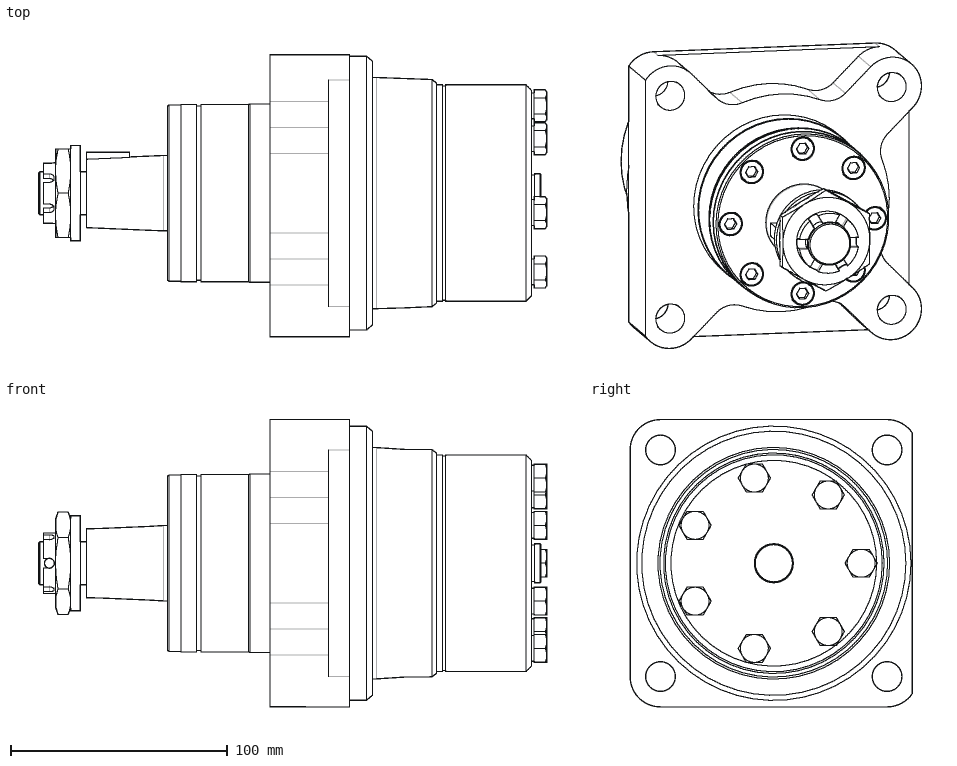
import cadquery as cq
import math


CASTLE_START = 2.0
HEX_START = 7.7
WASHER_START = 14.8
WASHER_END = 19.2
TAPER_START = 22.0
TAPER_END = 57.6
NOSE_START = 59.3
FLANGE_START = 106.5
PLATE_START = 133.5
FLANGE_END = 143.5
REAR_FACE = 227.3
BOLT_HEAD_START = 228.5
OVERALL_END = 234.3

SHAFT_TIP_RADIUS = 18.7 / 2
THREAD_RADIUS = 20.0 / 2
TAPER_SMALL_RADIUS = 16.0
TAPER_LARGE_RADIUS = 35.0 / 2
PIN_DIAMETER = 4.5
PIN_X = 5.0
KEY_WIDTH = 6.0
KEY_LENGTH = 20.0
KEY_TOP = 19.0

NUT_ACROSS_FLATS = 41.0
NUT_CHAMFER_DROP = 1.2
CASTLE_RADIUS = 28.0 / 2
SLOT_COUNT = 6
WASHER_RADIUS = 44.0 / 2

NOSE_CAP_RADIUS = 81.5 / 2
NOSE_RADIUS = 82.0 / 2
NOSE_BASE_RADIUS = 41.2
NOSE_CHAMFER = 0.7
NOSE_CAP_END = 65.5
NOSE_GROOVE = (72.9, 74.7)
NOSE_GROOVE_DEPTH = 0.7
NOSE_STEP = (96.8, 97.5)

RING_RADIUS = 63.3
RING_CHAMFER_START = 151.1
RING_END = 154.0
RING_END_RADIUS = 61.0
NECK_START_RADIUS = 53.5
NECK_TAPER_START = 155.8
NECK_CHAMFER_START = 181.3
NECK_CHAMFER_RADIUS = 52.5
NECK_END = 183.5
NECK_END_RADIUS = 50.8
REAR_RADIUS = 100.0 / 2
REAR_GROOVE = (186.3, 187.7)
REAR_GROOVE_DEPTH = 0.5
REAR_CHAMFER = 2.5

BOLT_HOLE_OFFSET = 52.2
BOLT_HOLE_DIAMETER = 13.5
ARM_RADIUS = 28.0 / 2
FLANGE_HALF_SIZE = BOLT_HOLE_OFFSET + ARM_RADIUS
FLAT_SIDE_Y = 64.0
HUB_RADIUS = 51.0
WEB_FILLET = 11.2

SCREW_COUNT = 8
SCREW_CIRCLE_RADIUS = 34.0
SCREW_RECESS_DIAMETER = 11.0
SCREW_HEAD_DIAMETER = 10.0
SCREW_HEAD_HEIGHT = 6.0
SOCKET_ACROSS_FLATS = 5.0
SOCKET_DEPTH = 3.0

BOLT_COUNT = 7
BOLT_CIRCLE_RADIUS = 40.3
BOLT_ACROSS_FLATS = 13.0
BOLT_COLLAR_DIAMETER = 12.0
BOLT_CHAMFER_DROP = 0.7
PLUG_NECK_RADIUS = 16.9 / 2
PLUG_RADIUS = 18.0 / 2
PLUG_HEAD_START = 228.7
PLUG_END = 231.7
PLUG_CHAMFER = 0.5


def revolve_about_shaft(profile):
    """Solid of revolution about X; the (x, radius) profile starts and ends on the axis."""
    return cq.Workplane("XY").polyline(profile).close().revolve(360, (0, 0, 0), (1, 0, 0))


def plane_at(x):
    """Work plane across the shaft: local x is +Y, local y is +Z, extrusion runs along +X."""
    return cq.Workplane("YZ", origin=(x, 0, 0))


def disc(start, end, diameter, y=0, z=0):
    return plane_at(start).center(y, z).circle(diameter / 2).extrude(end - start)


def hexagon(start, end, across_flats, y=0, z=0, turn=0):
    """Hexagonal prism along X; its corners point along Y, or along Z with a turn of 90 degrees."""
    across_corners = across_flats / math.cos(math.pi / 6)
    prism = plane_at(start).polygon(6, across_corners).extrude(end - start)
    return prism.rotate((0, 0, 0), (1, 0, 0), turn).translate((0, y, z))


def circle_points(count, radius):
    """Points (y, z) spaced evenly on a circle, the first on +Y."""
    angles = [2 * math.pi * i / count for i in range(count)]
    return [(radius * math.cos(a), radius * math.sin(a)) for a in angles]


def make_housing():
    """Turned shape of the shaft, nose, flange ring, rear housing and plug."""
    groove_radius = NOSE_RADIUS - NOSE_GROOVE_DEPTH
    rear_groove_radius = REAR_RADIUS - REAR_GROOVE_DEPTH
    tip_chamfer = THREAD_RADIUS - SHAFT_TIP_RADIUS
    return revolve_about_shaft([
        (0, 0),
        (0, SHAFT_TIP_RADIUS),
        (tip_chamfer, THREAD_RADIUS),
        (TAPER_START, THREAD_RADIUS),
        (TAPER_START, TAPER_SMALL_RADIUS),
        (TAPER_END, TAPER_LARGE_RADIUS),
        (NOSE_START, TAPER_LARGE_RADIUS),
        (NOSE_START, NOSE_CAP_RADIUS - NOSE_CHAMFER),
        (NOSE_START + NOSE_CHAMFER, NOSE_CAP_RADIUS),
        (NOSE_CAP_END, NOSE_CAP_RADIUS),
        (NOSE_CAP_END, NOSE_RADIUS),
        (NOSE_GROOVE[0], NOSE_RADIUS),
        (NOSE_GROOVE[0], groove_radius),
        (NOSE_GROOVE[1], groove_radius),
        (NOSE_GROOVE[1], NOSE_RADIUS),
        (NOSE_STEP[0], NOSE_RADIUS),
        (NOSE_STEP[1], NOSE_BASE_RADIUS),
        (FLANGE_END, NOSE_BASE_RADIUS),
        (FLANGE_END, RING_RADIUS),
        (RING_CHAMFER_START, RING_RADIUS),
        (RING_END, RING_END_RADIUS),
        (RING_END, NECK_START_RADIUS),
        (NECK_TAPER_START, NECK_START_RADIUS),
        (NECK_CHAMFER_START, NECK_CHAMFER_RADIUS),
        (NECK_END, NECK_END_RADIUS),
        (NECK_END, REAR_RADIUS),
        (REAR_GROOVE[0], REAR_RADIUS),
        (REAR_GROOVE[0], rear_groove_radius),
        (REAR_GROOVE[1], rear_groove_radius),
        (REAR_GROOVE[1], REAR_RADIUS),
        (REAR_FACE - REAR_CHAMFER, REAR_RADIUS),
        (REAR_FACE, REAR_RADIUS - REAR_CHAMFER),
        (REAR_FACE, PLUG_NECK_RADIUS),
        (PLUG_HEAD_START, PLUG_NECK_RADIUS),
        (PLUG_HEAD_START, PLUG_RADIUS),
        (PLUG_END - PLUG_CHAMFER, PLUG_RADIUS),
        (PLUG_END, PLUG_RADIUS - PLUG_CHAMFER),
        (PLUG_END, 0),
    ])


def turned(point, quarter_turns):
    """Point (y, z) turned about the shaft axis by whole quarter turns."""
    y, z = point
    for _ in range(quarter_turns):
        y, z = -z, y
    return (y, z)


def make_arms():
    """Hub and four arms, with a relief on the +Z, -Y and -Z sides and a straight +Y side.

    Each 45 degree arm flank is tangent to the round arm end and runs through a fillet into the hub.
    """
    diagonal = math.sqrt(0.5)
    flank_start = (BOLT_HOLE_OFFSET - ARM_RADIUS * diagonal, BOLT_HOLE_OFFSET + ARM_RADIUS * diagonal)
    across = ARM_RADIUS + WEB_FILLET
    along = math.sqrt((HUB_RADIUS + WEB_FILLET) ** 2 - across**2)
    centre_y = (along - across) * diagonal
    centre_z = (along + across) * diagonal
    flank_end = (centre_y + WEB_FILLET * diagonal, centre_z - WEB_FILLET * diagonal)
    hub_share = HUB_RADIUS / (HUB_RADIUS + WEB_FILLET)
    fillet_end = (centre_y * hub_share, centre_z * hub_share)
    flank_angle = -math.pi / 4
    axis_angle = math.atan2(-centre_z, -centre_y)
    mid_angle = (flank_angle + axis_angle) / 2
    fillet_mid = (
        centre_y + WEB_FILLET * math.cos(mid_angle),
        centre_z + WEB_FILLET * math.sin(mid_angle),
    )
    arm_tip = (BOLT_HOLE_OFFSET + ARM_RADIUS * diagonal, BOLT_HOLE_OFFSET + ARM_RADIUS * diagonal)
    straight_side_end = (FLANGE_HALF_SIZE, BOLT_HOLE_OFFSET)

    def mirrored(point):
        return (-point[0], point[1])

    outline = (
        plane_at(FLANGE_START)
        .moveTo(FLANGE_HALF_SIZE, -BOLT_HOLE_OFFSET)
        .lineTo(*straight_side_end)
    )
    for side in range(3):
        outline = (
            outline.threePointArc(turned(arm_tip, side), turned(flank_start, side))
            .lineTo(*turned(flank_end, side))
            .threePointArc(turned(fillet_mid, side), turned(fillet_end, side))
            .threePointArc(turned((0, HUB_RADIUS), side), turned(mirrored(fillet_end), side))
            .threePointArc(turned(mirrored(fillet_mid), side), turned(mirrored(flank_end), side))
            .lineTo(*turned(mirrored(flank_start), side))
        )
    outline = outline.threePointArc(turned(arm_tip, 3), (FLANGE_HALF_SIZE, -BOLT_HOLE_OFFSET))
    return outline.close().extrude(PLATE_START - FLANGE_START)


def make_flange():
    """Armed front half on a square back plate, cut flat on +Y, with four bolt holes."""
    size = 2 * FLANGE_HALF_SIZE
    plate = plane_at(PLATE_START).rect(size, size).extrude(FLANGE_END - PLATE_START)
    flange = plate.edges("|X").fillet(ARM_RADIUS).union(make_arms())
    depth = FLANGE_END - FLANGE_START
    beyond_flat = (
        plane_at(FLANGE_START)
        .center(FLAT_SIDE_Y + ARM_RADIUS, 0)
        .rect(2 * ARM_RADIUS, size)
        .extrude(depth)
    )
    hole_spacing = 2 * BOLT_HOLE_OFFSET
    holes = (
        plane_at(FLANGE_START)
        .rect(hole_spacing, hole_spacing, forConstruction=True)
        .vertices()
        .circle(BOLT_HOLE_DIAMETER / 2)
        .extrude(depth)
    )
    return flange.cut(beyond_flat).cut(holes)


def make_key():
    """Square-ended key standing out of the taper on +Y."""
    key = cq.Workplane("XY").box(KEY_LENGTH, KEY_TOP, KEY_WIDTH, centered=(False, False, True))
    return key.translate((TAPER_START, 0, 0))


def make_pin_hole():
    """Split pin hole across the shaft, along Y."""
    return (
        cq.Workplane("XZ", origin=(PIN_X, 0, 0))
        .circle(PIN_DIAMETER / 2)
        .extrude(CASTLE_RADIUS, both=True)
    )


def add_socket_screws(motor):
    """Socket screws with their heads sunk level with the nose face."""
    head_seat = NOSE_START + SCREW_HEAD_HEIGHT
    socket_end = NOSE_START + SOCKET_DEPTH
    for y, z in circle_points(SCREW_COUNT, SCREW_CIRCLE_RADIUS):
        recess = disc(NOSE_START, head_seat, SCREW_RECESS_DIAMETER, y, z)
        head = disc(NOSE_START, head_seat, SCREW_HEAD_DIAMETER, y, z)
        socket = hexagon(NOSE_START, socket_end, SOCKET_ACROSS_FLATS, y, z)
        motor = motor.cut(recess).union(head.cut(socket))
    return motor


def make_chamfer_envelope(start, end, across_flats, start_drop, end_drop):
    """Turned shape that chamfers the corners of a hexagon; a drop is the depth at a corner."""
    flat_radius = across_flats / 2
    corner_radius = flat_radius / math.cos(math.pi / 6)
    return revolve_about_shaft([
        (start, 0),
        (start, flat_radius),
        (start + start_drop, corner_radius),
        (end - end_drop, corner_radius),
        (end, flat_radius),
        (end, 0),
    ])


def make_rear_bolt():
    """Hexagon bolt head on a round collar, centred on the shaft axis."""
    head = hexagon(BOLT_HEAD_START, OVERALL_END, BOLT_ACROSS_FLATS)
    envelope = make_chamfer_envelope(
        BOLT_HEAD_START, OVERALL_END, BOLT_ACROSS_FLATS, 0, BOLT_CHAMFER_DROP
    )
    collar = disc(REAR_FACE, BOLT_HEAD_START, BOLT_COLLAR_DIAMETER)
    return head.intersect(envelope).union(collar)


def make_motor():
    motor = make_housing().union(make_flange()).union(make_key())
    motor = add_socket_screws(motor)
    for y, z in circle_points(BOLT_COUNT, BOLT_CIRCLE_RADIUS):
        motor = motor.union(make_rear_bolt().translate((0, y, z)))
    return motor.cut(make_pin_hole())


def make_slot():
    """Round-bottomed slot in the castle, on its +Y side."""
    square_part = cq.Workplane("XY").box(
        PIN_X - CASTLE_START, CASTLE_RADIUS, PIN_DIAMETER, centered=(False, False, True)
    )
    round_end = cq.Workplane("XZ", origin=(PIN_X, 0, 0)).circle(PIN_DIAMETER / 2).extrude(-CASTLE_RADIUS)
    return square_part.translate((CASTLE_START, 0, 0)).union(round_end)


def make_castle_nut():
    nut = hexagon(HEX_START, WASHER_START, NUT_ACROSS_FLATS, turn=90).intersect(
        make_chamfer_envelope(
            HEX_START, WASHER_START, NUT_ACROSS_FLATS, NUT_CHAMFER_DROP, NUT_CHAMFER_DROP
        )
    )
    nut = nut.union(disc(CASTLE_START, HEX_START, 2 * CASTLE_RADIUS))
    nut = nut.cut(disc(CASTLE_START, WASHER_START, 2 * THREAD_RADIUS))
    for i in range(SLOT_COUNT):
        nut = nut.cut(make_slot().rotate((0, 0, 0), (1, 0, 0), 360 * i / SLOT_COUNT))
    return nut


def make_washer():
    washer = disc(WASHER_START, WASHER_END, 2 * WASHER_RADIUS)
    return washer.cut(disc(WASHER_START, WASHER_END, 2 * THREAD_RADIUS))


motor = make_motor().solids()
castle_nut = make_castle_nut().solids()
washer = make_washer().solids()

result = cq.Compound.makeCompound([motor.val(), castle_nut.val(), washer.val()])